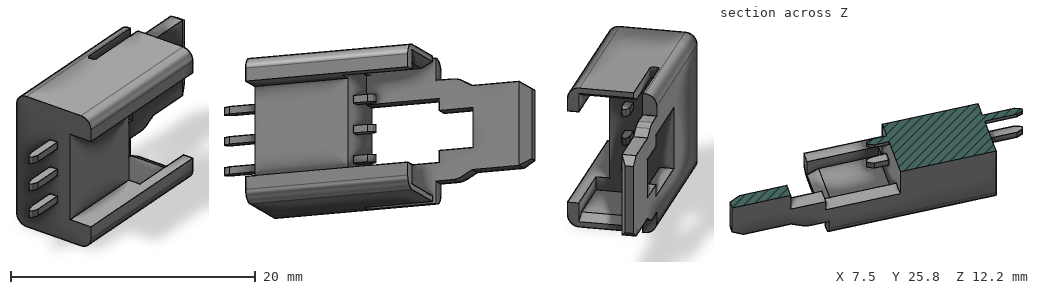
import cadquery as cq


width = 7.5
height = 12.2
body_back = 3.3
body_front = 17.55
corner_radius = 1.0

wall = 0.95
cavity_floor = 11.48
lead_in_length = 0.98
lead_in_depth = 0.5

channel_floor = 5.42
channel_height = 8.0

latch_thickness = 1.19
latch_end = 25.8
latch_half = 3.53
shoulder_half = 4.23
shoulder_corner = 19.48
shoulder_slope_end = 20.77
shoulder_radius = 1.75
tip_half = 2.95
tip_start = 24.85
tip_thickness = 0.7

slot_width = 0.75
slot_corner_radius = 0.25
slot_end = 11.53

window_half = 2.68
window_step = 17.83
narrow_window_half = 1.68
window_end = 20.8

pin_count = 3
pin_pitch = 2.53
pin_width = 0.72
pin_thickness = 0.62
pin_end = 13.29
pin_tip_length = 0.6
pin_nose_half = 0.18
pin_nose_length = 0.13


def span_box(x_start, x_end, y_start, y_end, z_size):
    """Box between the given X and Y limits, centred on Z = 0."""
    box = cq.Workplane("XY").box(x_end - x_start, y_end - y_start, z_size, centered=(False, False, True))
    return box.translate((x_start, y_start, 0))


def extrude_mirrored(upper_points, depth):
    """Plate from X = 0 whose (Y, Z) upper outline is mirrored about Z = 0."""
    lower_points = [(y, -z) for y, z in reversed(upper_points)]
    return cq.Workplane("YZ").polyline(upper_points + lower_points).close().extrude(depth)


def make_housing():
    block = span_box(0, width, body_back, body_front, height)
    return block.edges("|Y").fillet(corner_radius)


def make_cavity():
    half = height / 2 - wall
    lead_in_start = body_front - lead_in_length
    profile = [
        (cavity_floor, half),
        (lead_in_start, half),
        (body_front, half + lead_in_depth),
    ]
    depth = width - wall - latch_thickness
    return extrude_mirrored(profile, depth).translate((latch_thickness, 0, 0))


def make_channel():
    return span_box(channel_floor, width, body_back, body_front, channel_height)


def make_slots():
    slot = span_box(latch_thickness, latch_thickness + slot_width, slot_end, body_front, height)
    return slot.edges("|Z and <Y").fillet(slot_corner_radius)


def make_latch():
    outline = [
        (cavity_floor, shoulder_half),
        (shoulder_corner, shoulder_half),
        (shoulder_slope_end, latch_half),
        (tip_start, latch_half),
        (latch_end, tip_half),
    ]
    latch = extrude_mirrored(outline, latch_thickness)
    for side in (1, -1):
        corner = (latch_thickness / 2, shoulder_corner, side * shoulder_half)
        latch = latch.edges(cq.selectors.NearestToPointSelector(corner)).fillet(shoulder_radius)
    tip_bevel = (
        cq.Workplane("XY")
        .polyline([(tip_thickness, latch_end), (latch_thickness, latch_end), (latch_thickness, tip_start)])
        .close()
        .extrude(latch_half, both=True)
    )
    return latch.cut(tip_bevel)


def make_window():
    outline = [
        (cavity_floor, window_half),
        (window_step, window_half),
        (window_step, narrow_window_half),
        (window_end, narrow_window_half),
    ]
    return extrude_mirrored(outline, latch_thickness)


def make_pin(z_centre):
    """Flat pin with a tapered, rounded tip at both ends."""
    half = pin_width / 2
    return (
        cq.Workplane("XY")
        .moveTo(-half, pin_tip_length)
        .lineTo(-pin_nose_half, pin_nose_length)
        .threePointArc((0, 0), (pin_nose_half, pin_nose_length))
        .lineTo(half, pin_tip_length)
        .lineTo(half, pin_end - pin_tip_length)
        .lineTo(pin_nose_half, pin_end - pin_nose_length)
        .threePointArc((0, pin_end), (-pin_nose_half, pin_end - pin_nose_length))
        .lineTo(-half, pin_end - pin_tip_length)
        .close()
        .extrude(pin_thickness / 2, both=True)
        .translate((width / 2, 0, z_centre))
    )


result = (
    make_housing()
    .cut(make_cavity())
    .cut(make_channel())
    .cut(make_slots())
    .union(make_latch())
    .cut(make_window())
)
for index in range(pin_count):
    result = result.union(make_pin((index - (pin_count - 1) / 2) * pin_pitch))